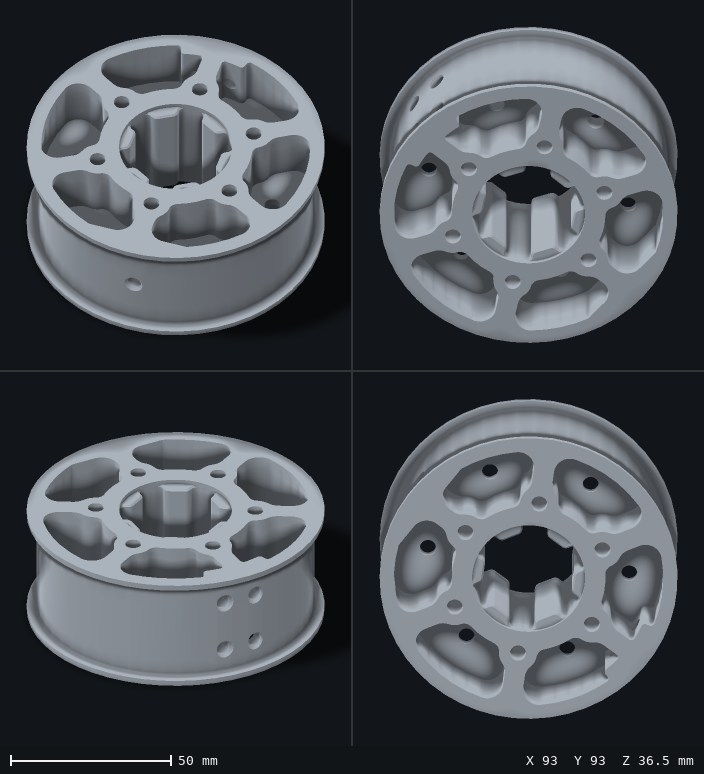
import cadquery as cq
import math

FLANGE_RADIUS = 46.5
WIDTH = 36.5
FLANGE_THICKNESS = 1.8
BARREL_RADIUS = 43.5
BARREL_FILLET = 1.0

SPOKE_COUNT = 6
BOLT_HOLE_DIAMETER = 5.0
SPOKE_BOLT_RADIUS = 24.9
WEB_BOLT_RADIUS = 31.7

WEB_THICKNESS = 2.6
POCKET_OUTER_RADIUS = 42.1
POCKET_INNER_RADIUS = 24.0
SPOKE_WIDTH = 6.3
BOSS_RADIUS = 6.0
BOSS_FILLET = 5.0
HUB_FILLET = 3.0
RIM_FILLET = 5.0

FLAT_PAD_Y = -38.9

CURVED_PAD_RADIUS = 38.6
CURVED_PAD_HALF_ANGLE = 15.2
CURVED_PAD_FILLET = 1.2

BORE_RADIUS = 17.7
KEY_FLAT_DISTANCE = 14.05
SLOT_WIDTH = 8.0
KEY_TIP_FILLET = 2.0
KEY_ROOT_FILLET = 1.5
KEY_CHAMFER = 0.6
RECESS_DEPTH = 1.5

SIDE_HOLE_DIAMETER = 4.4
COUNTERSINK_DIAMETER = 6.05
PAD_HOLE_X = 5.6
PAD_HOLE_Z = 8.4
PAD_HOLE_FLOOR_Y = 37.9

SPOKE_STEP = 360 / SPOKE_COUNT
FIRST_SPOKE_ANGLE = 90
POCKET_DEPTH = (WIDTH - WEB_THICKNESS) / 2

TOLERANCE = 0.01


def disc(radius, height):
    """Cylinder on the Z axis, standing on the XY plane."""
    return cq.Workplane("XY").circle(radius).extrude(height)


def wedge(middle_angle, half_angle, height):
    """Triangular prism with one edge on the Z axis, reaching past the rim."""
    reach = FLANGE_RADIUS / math.cos(math.radians(half_angle))
    start = math.radians(middle_angle - half_angle)
    end = math.radians(middle_angle + half_angle)
    outline = cq.Workplane("XY").moveTo(0, 0)
    outline = outline.lineTo(reach * math.cos(start), reach * math.sin(start))
    outline = outline.lineTo(reach * math.cos(end), reach * math.sin(end))
    return outline.close().extrude(height)


def radial_bar(angle, width, length, height):
    """Bar running outwards from the Z axis, standing on the XY plane."""
    bar = cq.Workplane("XY").box(length, width, height, centered=(False, True, False))
    return bar.rotate((0, 0, 0), (0, 0, 1), angle)


def fillet_upright_edges(body, radius, belongs):
    """Round the Z-parallel edges whose centre satisfies belongs(x, y)."""
    edges = body.edges("|Z").filter(lambda edge: belongs(edge.Center().x, edge.Center().y))
    return edges.fillet(radius)


def at_key_root(x, y):
    return math.isclose(math.hypot(x, y), BORE_RADIUS, abs_tol=TOLERANCE)


def at_key_tip(x, y):
    return math.hypot(x, y) < (BORE_RADIUS + KEY_FLAT_DISTANCE) / 2


def on_bore_side(x, y):
    return math.hypot(x, y) < (POCKET_INNER_RADIUS + SPOKE_BOLT_RADIUS) / 2


def on_boss(x, y):
    return not on_bore_side(x, y) and math.hypot(x, y) < WEB_BOLT_RADIUS


def beside_curved_pad(x, y):
    pad_width = 2 * CURVED_PAD_RADIUS * math.sin(math.radians(CURVED_PAD_HALF_ANGLE))
    return y > WEB_BOLT_RADIUS and abs(x) < pad_width


def at_flat_pad_end(x, y):
    """Blunt corner where the flat pad runs into the rim; it stays sharp."""
    return y < FLAT_PAD_Y + TOLERANCE and abs(x) > SPOKE_WIDTH


def at_plain_rim(x, y):
    outside = math.hypot(x, y) > WEB_BOLT_RADIUS
    return outside and not beside_curved_pad(x, y) and not at_flat_pad_end(x, y)


def wheel_blank():
    """Barrel and flanges revolved from one half section."""
    half_barrel = WIDTH / 2 - FLANGE_THICKNESS
    corner = half_barrel - BARREL_FILLET
    fillet_edge = BARREL_RADIUS + BARREL_FILLET
    bulge = BARREL_FILLET * (1 - math.sqrt(0.5))
    return (
        cq.Workplane("XZ")
        .moveTo(0, -WIDTH / 2)
        .lineTo(FLANGE_RADIUS, -WIDTH / 2)
        .lineTo(FLANGE_RADIUS, -half_barrel)
        .lineTo(fillet_edge, -half_barrel)
        .threePointArc((BARREL_RADIUS + bulge, bulge - half_barrel), (BARREL_RADIUS, -corner))
        .lineTo(BARREL_RADIUS, corner)
        .threePointArc((BARREL_RADIUS + bulge, half_barrel - bulge), (fillet_edge, half_barrel))
        .lineTo(FLANGE_RADIUS, half_barrel)
        .lineTo(FLANGE_RADIUS, WIDTH / 2)
        .lineTo(0, WIDTH / 2)
        .close()
        .revolve(360, (0, 0, 0), (0, 1, 0))
    )


def pockets():
    """All six pocket volumes, standing on the XY plane."""
    body = disc(POCKET_OUTER_RADIUS, POCKET_DEPTH).cut(disc(POCKET_INNER_RADIUS, POCKET_DEPTH))
    for index in range(SPOKE_COUNT):
        angle = FIRST_SPOKE_ANGLE + index * SPOKE_STEP
        boss = disc(BOSS_RADIUS, POCKET_DEPTH).translate((SPOKE_BOLT_RADIUS, 0, 0))
        body = body.cut(radial_bar(angle, SPOKE_WIDTH, FLANGE_RADIUS, POCKET_DEPTH))
        body = body.cut(boss.rotate((0, 0, 0), (0, 0, 1), angle))

    curved_pad = wedge(90, CURVED_PAD_HALF_ANGLE, POCKET_DEPTH).cut(disc(CURVED_PAD_RADIUS, POCKET_DEPTH))
    flat_pad = radial_bar(-90, 2 * FLANGE_RADIUS, FLANGE_RADIUS, POCKET_DEPTH).translate((0, FLAT_PAD_Y, 0))
    body = body.cut(curved_pad).cut(flat_pad)

    body = fillet_upright_edges(body, HUB_FILLET, on_bore_side)
    body = fillet_upright_edges(body, BOSS_FILLET, on_boss)
    body = fillet_upright_edges(body, CURVED_PAD_FILLET, beside_curved_pad)
    return fillet_upright_edges(body, RIM_FILLET, at_plain_rim)


def splined_bore():
    """Bore volume: round recesses at both ends, six bevelled keys left standing between."""
    key_length = WIDTH - 2 * RECESS_DEPTH
    hexagon_diameter = 2 * KEY_FLAT_DISTANCE / math.cos(math.pi / SPOKE_COUNT)
    body = cq.Workplane("XY").polygon(SPOKE_COUNT, hexagon_diameter).extrude(key_length)
    body = body.rotate((0, 0, 0), (0, 0, 1), FIRST_SPOKE_ANGLE)
    for index in range(SPOKE_COUNT):
        angle = FIRST_SPOKE_ANGLE + index * SPOKE_STEP
        body = body.union(radial_bar(angle, SLOT_WIDTH, 2 * BORE_RADIUS, key_length))
    body = body.intersect(disc(BORE_RADIUS, key_length))
    body = fillet_upright_edges(body, KEY_ROOT_FILLET, at_key_root)
    body = fillet_upright_edges(body, KEY_TIP_FILLET, at_key_tip)

    outline = body.faces("<Z").wires().toPending().workplane()
    flare = outline.extrude(-KEY_CHAMFER, combine=False, taper=-45)
    flare = flare.intersect(disc(BORE_RADIUS, KEY_CHAMFER))
    top_flare = flare.translate((0, 0, key_length / 2 - KEY_CHAMFER))

    body = body.translate((0, 0, -key_length / 2))
    body = body.union(top_flare).union(top_flare.mirror("XY"))
    for start in (-WIDTH / 2, key_length / 2):
        body = body.union(disc(BORE_RADIUS, RECESS_DEPTH).translate((0, 0, start)))
    return body


def bolt_holes(circle_radius, first_angle):
    """Six through holes parallel to the axis."""
    return (
        cq.Workplane("XY")
        .workplane(offset=-WIDTH / 2)
        .polarArray(circle_radius, first_angle, 360, SPOKE_COUNT)
        .circle(BOLT_HOLE_DIAMETER / 2)
        .extrude(WIDTH)
    )


def side_hole(x, z, side, floor_distance):
    """Countersunk hole parallel to Y; side is +1 or -1, floor_distance is where it ends."""
    surface_y = math.sqrt(BARREL_RADIUS**2 - x**2)
    countersink_depth = (COUNTERSINK_DIAMETER - SIDE_HOLE_DIAMETER) / 2
    profile = (
        cq.Workplane("XY")
        .moveTo(0, floor_distance)
        .lineTo(SIDE_HOLE_DIAMETER / 2, floor_distance)
        .lineTo(SIDE_HOLE_DIAMETER / 2, surface_y - countersink_depth)
        .lineTo(COUNTERSINK_DIAMETER / 2, surface_y)
        .lineTo(COUNTERSINK_DIAMETER / 2, FLANGE_RADIUS)
        .lineTo(0, FLANGE_RADIUS)
        .close()
    )
    hole = profile.revolve(360, (0, 0, 0), (0, 1, 0))
    if side < 0:
        hole = hole.mirror("XZ")
    return hole.translate((x, 0, z))


result = wheel_blank()
top_pockets = pockets().translate((0, 0, WEB_THICKNESS / 2))
result = result.cut(top_pockets).cut(top_pockets.mirror("XY"))
result = result.cut(splined_bore())
result = result.cut(bolt_holes(SPOKE_BOLT_RADIUS, FIRST_SPOKE_ANGLE))
result = result.cut(bolt_holes(WEB_BOLT_RADIUS, FIRST_SPOKE_ANGLE + SPOKE_STEP / 2))
result = result.cut(side_hole(0, 0, -1, SPOKE_BOLT_RADIUS))
for x in (-PAD_HOLE_X, PAD_HOLE_X):
    for z in (-PAD_HOLE_Z, PAD_HOLE_Z):
        result = result.cut(side_hole(x, z, 1, PAD_HOLE_FLOOR_Y))